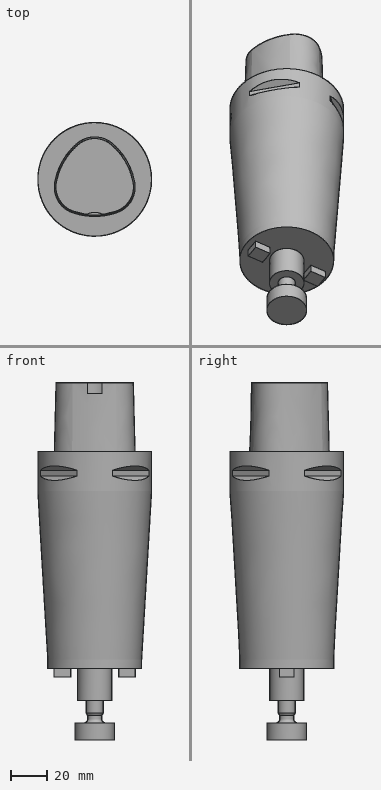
import cadquery as cq
import math

SHANK_LENGTH = 38.0
LOBE_RADIUS = 15.1
LOBE_OFFSET = 8.4
LOBE_ANGLES = (90, 210, 330)
HALF_PITCH = 60
FLANK_APOTHEM = 20.55
SHANK_TAPER_DEG = math.degrees(math.atan(1 / 40))

NOTCH_WIDTH = 7.9
NOTCH_HEIGHT = 6.0
NOTCH_DEPTH = 1.4
NOTCH_FLOOR_SAG = 1.0

FLANGE_DIAMETER = 63.0
FLANGE_HEIGHT = 22.0
NOSE_DIAMETER = 52.0
NOSE_HEIGHT = 5.0
BODY_LENGTH = 120.0

GROOVE_COUNT = 4
GROOVE_START_DEG = 45.0
GROOVE_CENTRE_Z = -12.0
GROOVE_FLOOR_RADIUS = 28.1
GROOVE_FLOOR_HEIGHT = 3.2
GROOVE_OVERCUT = 1.0
GROOVE_MOUTH_HEIGHT = 8.0

KEY_INNER = 13.2
KEY_OUTER = 22.5
KEY_WIDTH = 8.0
KEY_HEIGHT = 4.8

PILOT_DIAMETER = 19.05
PILOT_LENGTH = 17.7
STEM_DIAMETER = 9.53
STEM_LENGTH = 6.8
NECK_DIAMETER = 7.9
NECK_CONE_LENGTH = 1.5
NECK_LENGTH = 2.0
NECK_FILLET = 2.0
HEAD_DIAMETER = 22.0
TOTAL_LENGTH = 197.5


def polar(radius, angle_deg):
    """Point at the given radius and angle from +X."""
    angle = math.radians(angle_deg)
    return (radius * math.cos(angle), radius * math.sin(angle))


def make_shank():
    """Tapered three-lobed polygon of tangent lobe and flank arcs, one lobe towards +Y."""
    tip_radius = LOBE_OFFSET + LOBE_RADIUS
    reach = FLANK_APOTHEM - LOBE_RADIUS
    flank_offset = (LOBE_OFFSET**2 - reach**2) / (2 * reach - LOBE_OFFSET)
    flank_radius = FLANK_APOTHEM + flank_offset
    lobe_along = LOBE_OFFSET * math.cos(math.radians(HALF_PITCH))
    lobe_across = LOBE_OFFSET * math.sin(math.radians(HALF_PITCH))
    lean = math.atan2(lobe_across, lobe_along + flank_offset)
    tangent_along = flank_radius * math.cos(lean) - flank_offset
    tangent_across = flank_radius * math.sin(lean)
    tangent_radius = math.hypot(tangent_along, tangent_across)
    lobe_half_angle = HALF_PITCH - math.degrees(math.atan2(tangent_across, tangent_along))

    outline = cq.Workplane("XY").moveTo(*polar(tangent_radius, LOBE_ANGLES[0] - lobe_half_angle))
    for lobe_angle in LOBE_ANGLES:
        outline = outline.threePointArc(
            polar(tip_radius, lobe_angle), polar(tangent_radius, lobe_angle + lobe_half_angle)
        )
        outline = outline.threePointArc(
            polar(FLANK_APOTHEM, lobe_angle + HALF_PITCH),
            polar(tangent_radius, lobe_angle + 2 * HALF_PITCH - lobe_half_angle),
        )
    return outline.close().extrude(SHANK_LENGTH, taper=SHANK_TAPER_DEG)


def make_notch():
    """Shallow notch with a hollow floor in the -Y flank, open at the top of the shank."""
    top_apothem = FLANK_APOTHEM - SHANK_LENGTH * math.tan(math.radians(SHANK_TAPER_DEG))
    half_width = NOTCH_WIDTH / 2
    floor_middle_y = -top_apothem + NOTCH_DEPTH
    floor_edge_y = floor_middle_y - NOTCH_FLOOR_SAG
    outer_y = -FLANGE_DIAMETER / 2
    return (
        cq.Workplane("XY", origin=(0, 0, SHANK_LENGTH - NOTCH_HEIGHT))
        .moveTo(-half_width, outer_y)
        .lineTo(-half_width, floor_edge_y)
        .threePointArc((0, floor_middle_y), (half_width, floor_edge_y))
        .lineTo(half_width, outer_y)
        .close()
        .extrude(NOTCH_HEIGHT)
    )


def make_turned_body():
    """Flange, tapered body, pilot and clamping screw as one revolved profile."""
    pilot_end = -BODY_LENGTH - PILOT_LENGTH
    stem_end = pilot_end - STEM_LENGTH
    cone_end = stem_end - NECK_CONE_LENGTH
    fillet_start = cone_end - NECK_LENGTH
    head_top = fillet_start - NECK_FILLET
    head_end = SHANK_LENGTH - TOTAL_LENGTH
    neck_radius = NECK_DIAMETER / 2
    fillet_inset = NECK_FILLET * (1 - math.sqrt(0.5))
    profile = (
        cq.Workplane("XZ")
        .lineTo(FLANGE_DIAMETER / 2, 0)
        .lineTo(FLANGE_DIAMETER / 2, -FLANGE_HEIGHT)
        .lineTo(NOSE_DIAMETER / 2, NOSE_HEIGHT - BODY_LENGTH)
        .lineTo(NOSE_DIAMETER / 2, -BODY_LENGTH)
        .lineTo(PILOT_DIAMETER / 2, -BODY_LENGTH)
        .lineTo(PILOT_DIAMETER / 2, pilot_end)
        .lineTo(STEM_DIAMETER / 2, pilot_end)
        .lineTo(STEM_DIAMETER / 2, stem_end)
        .lineTo(neck_radius, cone_end)
        .lineTo(neck_radius, fillet_start)
        .threePointArc(
            (neck_radius + fillet_inset, head_top + fillet_inset),
            (neck_radius + NECK_FILLET, head_top),
        )
        .lineTo(HEAD_DIAMETER / 2, head_top)
        .lineTo(HEAD_DIAMETER / 2, head_end)
        .lineTo(0, head_end)
        .close()
    )
    return profile.revolve(360, (0, 0, 0), (0, 1, 0))


def make_groove(angle_deg):
    """Straight trapezoidal groove cut across the flange rim, facing the given direction."""
    rim_radius = FLANGE_DIAMETER / 2
    flare = (GROOVE_MOUTH_HEIGHT - GROOVE_FLOOR_HEIGHT) / 2 / (rim_radius - GROOVE_FLOOR_RADIUS)
    outer_radius = rim_radius + GROOVE_OVERCUT
    half_floor = GROOVE_FLOOR_HEIGHT / 2
    half_outer = half_floor + flare * (outer_radius - GROOVE_FLOOR_RADIUS)
    return (
        cq.Workplane("XZ", origin=(0, 0, GROOVE_CENTRE_Z))
        .moveTo(GROOVE_FLOOR_RADIUS, -half_floor)
        .lineTo(GROOVE_FLOOR_RADIUS, half_floor)
        .lineTo(outer_radius, half_outer)
        .lineTo(outer_radius, -half_outer)
        .close()
        .extrude(rim_radius, both=True)
        .rotate((0, 0, 0), (0, 0, 1), angle_deg)
    )


def make_key(side):
    """Rectangular drive key under the nose, on the +X or -X side."""
    return (
        cq.Workplane("XY", origin=(side * (KEY_INNER + KEY_OUTER) / 2, 0, -BODY_LENGTH))
        .rect(KEY_OUTER - KEY_INNER, KEY_WIDTH)
        .extrude(-KEY_HEIGHT)
    )


result = make_turned_body().union(make_shank().cut(make_notch()))
for index in range(GROOVE_COUNT):
    result = result.cut(make_groove(GROOVE_START_DEG + index * 360 / GROOVE_COUNT))
for side in (-1, 1):
    result = result.union(make_key(side))